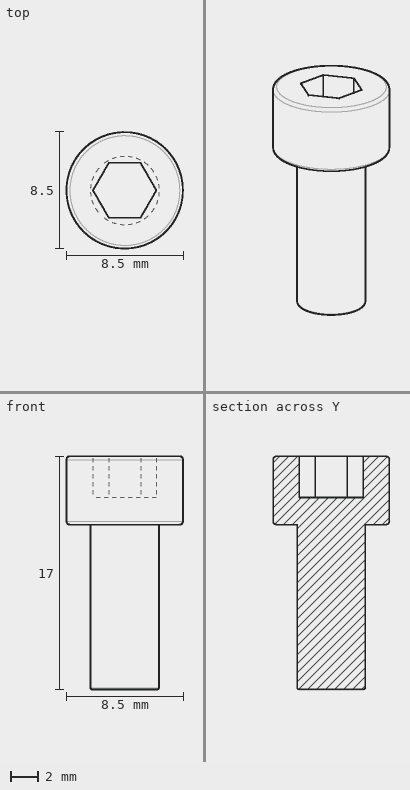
import cadquery as cq
import math

shank_diameter = 5.0
shank_length = 12.0
head_diameter = 8.5
head_height = shank_diameter
head_edge_radius = 0.25
tip_edge_radius = 0.15
socket_sides = 6
socket_across_flats = 4.0
socket_depth = 3.0


def make_head():
    """Cylindrical head with both rims rounded."""
    head = cq.Workplane("XY").circle(head_diameter / 2).extrude(head_height)
    return head.edges("%CIRCLE").fillet(head_edge_radius)


def make_shank():
    """Plain shank hanging below the head, rounded at its tip edge."""
    shank = cq.Workplane("XY").circle(shank_diameter / 2).extrude(-shank_length)
    return shank.faces("<Z").edges().fillet(tip_edge_radius)


def make_socket():
    """Hexagonal key socket sunk from the head top, with two corners on the X axis."""
    across_corners = socket_across_flats / math.cos(math.pi / socket_sides)
    top_plane = cq.Workplane("XY").workplane(offset=head_height)
    return top_plane.polygon(socket_sides, across_corners).extrude(-socket_depth)


result = make_head().union(make_shank()).cut(make_socket())